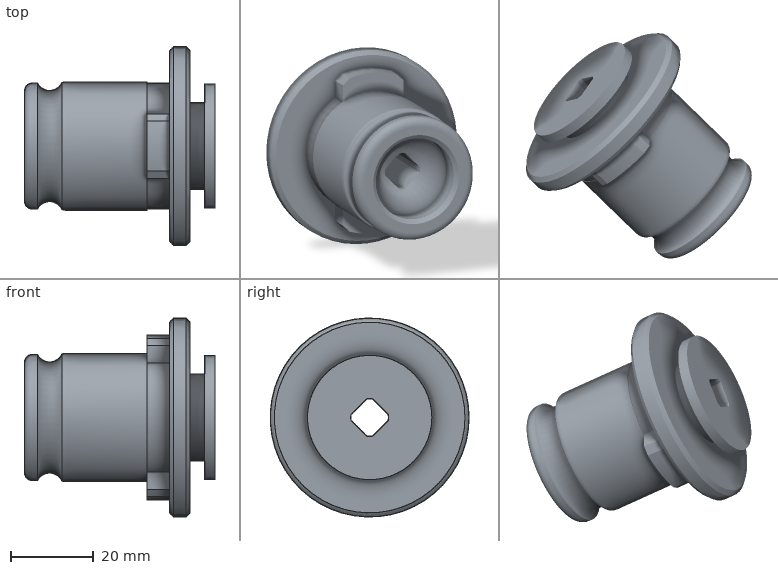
import cadquery as cq
import math

bead_diameter = 30.5
body_diameter = 31.0
neck_diameter = 30.5
flange_diameter = 48
shaft_diameter = 21.0
disc_diameter = 30.0

bead_end = 3.1
groove_end = 9.0
body_end = 29.5
flange_start = 35.0
flange_end = 40.0
disc_start = 43.5
overall_length = 46.0

edge_radius = 2.0
edge_round_length = 0.9
groove_depth = 1.8
flange_chamfer = 1.0

bore_diameter = 20.0
bore_depth = 6.0
bore_chamfer = 1.0
cone_angle = 118
square_side = 7.3
square_corner_diameter = 9.0

lug_tip_diameter = 40.0
lug_width = 15.6
lug_tip_width = 12
lug_side_height = 17.4


def make_turned_body():
    """Revolve the outer profile about the X axis."""
    bead_radius = bead_diameter / 2
    body_radius = body_diameter / 2
    neck_radius = neck_diameter / 2
    flange_radius = flange_diameter / 2
    shaft_radius = shaft_diameter / 2
    disc_radius = disc_diameter / 2

    round_end = groove_end + edge_round_length
    round_center_radius = body_radius - edge_radius

    def body_round(distance_before_tangency):
        rise = math.sqrt(edge_radius**2 - distance_before_tangency**2)
        return (round_end - distance_before_tangency, round_center_radius + rise)

    bead_corner_offset = edge_radius * (1 - math.sqrt(0.5))
    groove_middle = (bead_end + groove_end) / 2
    profile = (
        cq.Workplane("XY")
        .lineTo(0, bead_radius - edge_radius)
        .threePointArc((bead_corner_offset, bead_radius - bead_corner_offset), (edge_radius, bead_radius))
        .lineTo(bead_end, bead_radius)
        .threePointArc((groove_middle, bead_radius - groove_depth), body_round(edge_round_length))
        .threePointArc(body_round(edge_round_length / 2), (round_end, body_radius))
        .lineTo(body_end, body_radius)
        .lineTo(body_end, neck_radius)
        .lineTo(flange_start, neck_radius)
        .lineTo(flange_start, flange_radius - flange_chamfer)
        .lineTo(flange_start + flange_chamfer, flange_radius)
        .lineTo(flange_end - flange_chamfer, flange_radius)
        .lineTo(flange_end, flange_radius - flange_chamfer)
        .lineTo(flange_end, shaft_radius)
        .lineTo(disc_start, shaft_radius)
        .lineTo(disc_start, disc_radius)
        .lineTo(overall_length, disc_radius)
        .lineTo(overall_length, 0)
        .close()
    )
    return profile.revolve(360, (0, 0, 0), (1, 0, 0))


def make_lugs():
    """One plate through the axis whose two ends form the opposite lugs."""
    tip_radius = lug_tip_diameter / 2
    half_width = lug_width / 2
    half_tip = lug_tip_width / 2
    tip_corner_height = math.sqrt(tip_radius**2 - half_tip**2)
    return (
        cq.Workplane("YZ", origin=(body_end, 0, 0))
        .moveTo(half_width, -lug_side_height)
        .lineTo(half_width, lug_side_height)
        .lineTo(half_tip, tip_corner_height)
        .threePointArc((0, tip_radius), (-half_tip, tip_corner_height))
        .lineTo(-half_width, lug_side_height)
        .lineTo(-half_width, -lug_side_height)
        .lineTo(-half_tip, -tip_corner_height)
        .threePointArc((0, -tip_radius), (half_tip, -tip_corner_height))
        .close()
        .extrude(flange_start - body_end)
    )


def make_bore():
    """Chamfered blind bore ending in a full cone."""
    bore_radius = bore_diameter / 2
    cone_depth = bore_radius / math.tan(math.radians(cone_angle / 2))
    return (
        cq.Workplane("XY")
        .lineTo(0, bore_radius + bore_chamfer)
        .lineTo(bore_chamfer, bore_radius)
        .lineTo(bore_depth, bore_radius)
        .lineTo(bore_depth + cone_depth, 0)
        .close()
        .revolve(360, (0, 0, 0), (1, 0, 0))
    )


def make_square_hole():
    """Square through hole standing on its corner, with the corners rounded off."""
    square = (
        cq.Workplane("YZ")
        .transformed(rotate=(0, 0, 45))
        .rect(square_side, square_side)
        .extrude(overall_length)
    )
    corner_limit = cq.Workplane("YZ").circle(square_corner_diameter / 2).extrude(overall_length)
    return square.intersect(corner_limit)


result = make_turned_body().union(make_lugs()).cut(make_bore()).cut(make_square_hole())